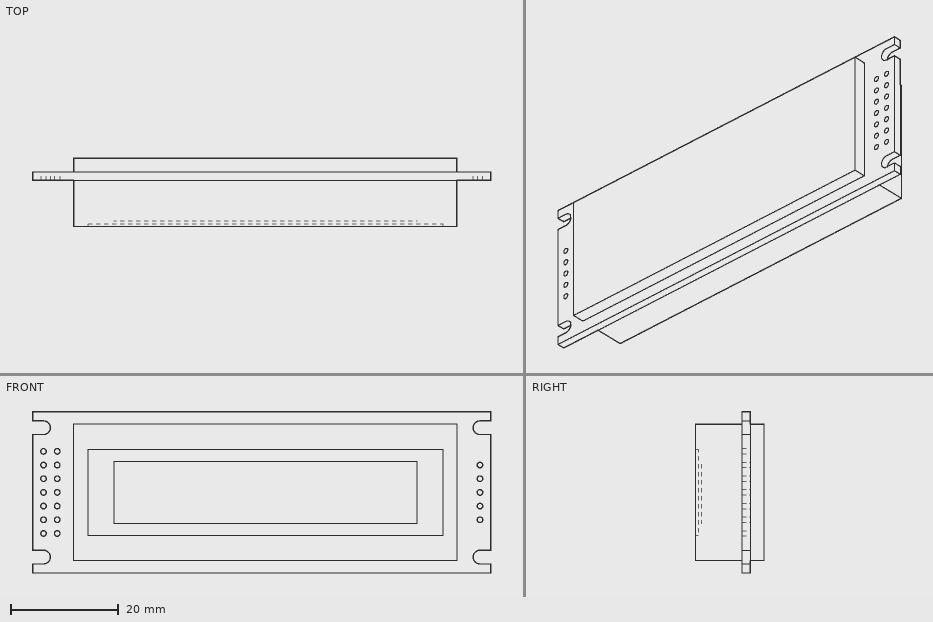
import cadquery as cq

board_length = 85.0
board_height = 30.0
board_thickness = 1.6

slot_width = 2.5
slot_center_inset = 2.0
slot_center_height = 12.0

hole_pitch = 2.54
hole_diameter = 1.0
left_hole_inset = 2.0
right_hole_inset = 2.0
left_hole_columns = 2
left_hole_rows = 7
right_hole_columns = 1
right_hole_rows = 5

housing_length = 71.1
housing_height = 25.3
housing_center_x = 0.65
housing_front_depth = 8.6
housing_back_depth = 2.54

bezel_length = 65.9
bezel_height = 16.0
window_length = 56.2
window_height = 11.5
recess_center_x = 0.7
recess_step = 0.55


def block(length, height, front_y, back_y, center_x=0.0):
    """Box centred on Z = 0 that fills the span from front_y to back_y."""
    depth = back_y - front_y
    return cq.Workplane("XY").box(length, depth, height).translate((center_x, front_y + depth / 2, 0))


def board_front_points(points):
    """Workplane on the front of the board, facing -Y, with the given (x, z) points."""
    return cq.Workplane("XZ").pushPoints(points)


def mounting_slots():
    slot_length = 2 * slot_center_inset + slot_width
    edge_x = board_length / 2
    centers = [(x, z) for x in (-edge_x, edge_x) for z in (-slot_center_height, slot_center_height)]
    return board_front_points(centers).slot2D(slot_length, slot_width).extrude(-board_thickness)


def solder_holes(first_x, columns, rows):
    """Grid of holes starting at first_x, stepping toward +X and centred on Z = 0."""
    centers = [
        (first_x + column * hole_pitch, (row - (rows - 1) / 2) * hole_pitch)
        for column in range(columns)
        for row in range(rows)
    ]
    return board_front_points(centers).circle(hole_diameter / 2).extrude(-board_thickness)


def board():
    plate = block(board_length, board_height, 0, board_thickness)
    left_holes = solder_holes(-board_length / 2 + left_hole_inset, left_hole_columns, left_hole_rows)
    right_holes = solder_holes(board_length / 2 - right_hole_inset, right_hole_columns, right_hole_rows)
    return plate.cut(mounting_slots()).cut(left_holes).cut(right_holes)


def housing():
    front_y = -housing_front_depth
    bezel_y = front_y + recess_step
    window_y = bezel_y + recess_step
    body = block(housing_length, housing_height, front_y, board_thickness + housing_back_depth, housing_center_x)
    bezel = block(bezel_length, bezel_height, front_y, bezel_y, recess_center_x)
    window = block(window_length, window_height, bezel_y, window_y, recess_center_x)
    return body.cut(bezel).cut(window)


result = board().union(housing())